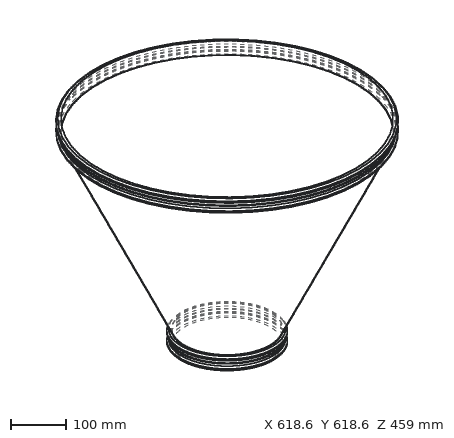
import cadquery as cq

total_height = 459.0
cone_height = 400.0
ring_height = (total_height - cone_height) / 2
wide_bore_radius = 600.0 / 2
narrow_bore_radius = 200.0 / 2

ring_wall = 5.9
ridge_depth = 3.4
ridge_height = 9.0
ridge_crest_height = 2.0
bead_height = 2.0
bead_depth = 0.9

cone_wall = 1.0
cone_base_z = ring_height
cone_top_z = cone_base_z + cone_height


def revolve_outline(outline):
    """Turn a closed (radius, z) outline around the Z axis."""
    return cq.Workplane("XZ").polyline(outline).close().revolve(360, (0, 0), (0, 1))


def make_ring(bore_radius, base_z):
    """Ring whose outer face has a bevelled ridge at each end and a fine bead between them."""
    face_radius = bore_radius + ring_wall
    crest_radius = face_radius + ridge_depth
    bevel_height = (ridge_height - ridge_crest_height) / 2

    def ridge(ridge_z):
        return [
            (face_radius, ridge_z),
            (crest_radius, ridge_z + bevel_height),
            (crest_radius, ridge_z + bevel_height + ridge_crest_height),
            (face_radius, ridge_z + ridge_height),
        ]

    bead_z = base_z + (ring_height - bead_height) / 2
    bead = [
        (face_radius, bead_z),
        (face_radius + bead_depth, bead_z + bead_height / 2),
        (face_radius, bead_z + bead_height),
    ]
    top_z = base_z + ring_height
    outline = [(bore_radius, base_z), *ridge(base_z), *bead, *ridge(top_z - ridge_height), (bore_radius, top_z)]
    return revolve_outline(outline)


def make_cone():
    """Thin conical shell filling the height between the two rings."""
    outline = [
        (narrow_bore_radius, cone_base_z),
        (narrow_bore_radius + cone_wall, cone_base_z),
        (wide_bore_radius + cone_wall, cone_top_z),
        (wide_bore_radius, cone_top_z),
    ]
    return revolve_outline(outline)


narrow_ring = make_ring(narrow_bore_radius, 0)
cone = make_cone()
wide_ring = make_ring(wide_bore_radius, cone_top_z)

result = cq.Compound.makeCompound([narrow_ring.val(), cone.val(), wide_ring.val()])